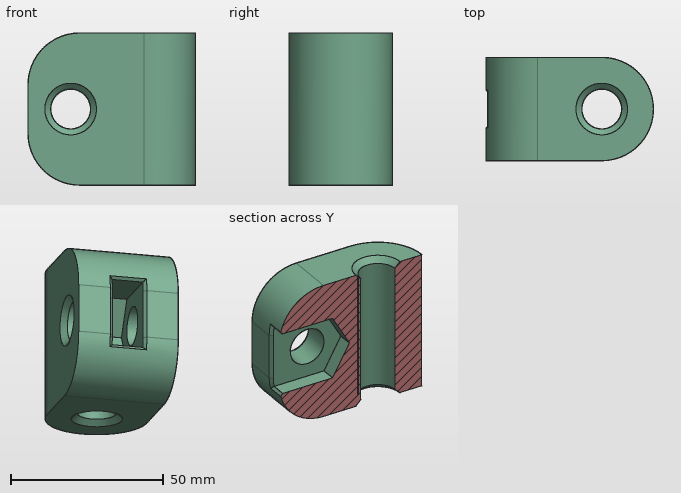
import cadquery as cq
import math

length = 55.0
width = 34.0
height = 50.0
round_radius = width / 2

hole_diameter = 13.0
sink_depth = 2.0
cross_hole_x = 14.0
upright_hole_x = length - round_radius

slot_width = 10.5
slot_height = 22.5
slot_straight = cross_hole_x + hole_diameter / 2
slot_end_slope = 60.0
slot_point = slot_height / 2 / math.tan(math.radians(slot_end_slope))
slot_chamfer = 1.0


def make_body():
    """Block rounded about Y on the slotted side and about Z on the other."""
    body = cq.Workplane("XY").box(length, width, height, centered=(False, True, True))
    body = body.edges("<X and |Y").fillet(round_radius)
    rounding = (
        cq.Workplane("XY")
        .center(upright_hole_x, 0)
        .circle(round_radius)
        .extrude(height / 2, both=True)
    )
    straight = cq.Workplane("XY").box(
        upright_hole_x, width, height, centered=(False, True, True)
    )
    return body.intersect(straight.union(rounding))


def cut_slot(body):
    """Cut the pointed slot and chamfer its mouth."""
    half_height = slot_height / 2
    slot = (
        cq.Workplane("XZ")
        .moveTo(0, -half_height)
        .lineTo(slot_straight, -half_height)
        .lineTo(slot_straight + slot_point, 0)
        .lineTo(slot_straight, half_height)
        .lineTo(0, half_height)
        .close()
        .extrude(slot_width / 2, both=True)
    )
    mouth_zone = cq.selectors.BoxSelector(
        (-round_radius / 4, -slot_width, -slot_height),
        (round_radius / 4, slot_width, slot_height),
        boundingbox=True,
    )
    return body.cut(slot).edges(mouth_zone).chamfer(slot_chamfer)


def countersunk_hole(plane, axis_x, thickness):
    """Cutter for a through hole with a 45 degree countersink at both ends."""
    half = thickness / 2
    radius = hole_diameter / 2
    cutter = cq.Workplane(plane).center(axis_x, 0).circle(radius).extrude(half, both=True)
    for side in (-1, 1):
        sink = (
            cq.Workplane(plane)
            .workplane(offset=side * half)
            .center(axis_x, 0)
            .circle(radius + sink_depth)
            .workplane(offset=-side * sink_depth)
            .circle(radius)
            .loft()
        )
        cutter = cutter.union(sink)
    return cutter


result = cut_slot(make_body())
result = result.cut(countersunk_hole("XZ", cross_hole_x, width))
result = result.cut(countersunk_hole("XY", upright_hole_x, height))